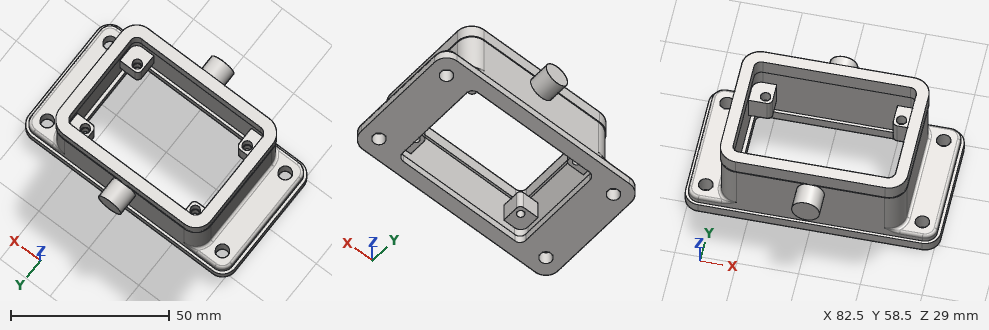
import cadquery as cq
base_length = 82.5
base_width = 45.4
base_height = 3.5
base_corner = 5.0

ledge = 1.1
pad_length = base_length - 2 * ledge
pad_corner = base_corner - ledge
pad_top = 6.0
blend_radius = 1.0

body_length = 60.0
body_width = 43.5
body_corner = 6.0
wall = 3.0
total_height = 29.0
collar_bottom = 23.5
collar_step = 0.25

runout_gap = 0.21
pad_start = body_length / 2 - body_corner + runout_gap

mouth_length = 52.5
mouth_width = 36.0
mouth_corner = 2.4
floor_length = 51.6
floor_width = 35.55
cavity_length = body_length - 2 * wall
cavity_width = body_width - 2 * wall
cavity_corner = body_corner - wall

peg_diameter = 9.0
peg_height = 19.1
peg_span = 58.5

mount_pitch_x = 70.05
mount_pitch_y = 32.5
mount_diameter = 4.5

screw_pitch_x = 44.0
screw_pitch_y = 26.9
block_margin = 2.5
block_corner = 1.6
block_bottom = 8.9
block_top = 17.0
screw_diameter = 3.2
screw_core_diameter = 2.6
screw_depth = (block_top - block_bottom) / 2


def rounded_block(length, width, corner, bottom, top):
    """Upright block centred on the Z axis with rounded vertical edges."""
    block = cq.Workplane("XY").workplane(offset=bottom).rect(length, width).extrude(top - bottom)
    return block.edges("|Z").fillet(corner)


def drill_pattern(diameter, pitch_x, pitch_y, bottom, top):
    """Four upright cylinders on a rectangular pattern, used as cutters."""
    centres = cq.Workplane("XY").workplane(offset=bottom).rect(pitch_x, pitch_y, forConstruction=True)
    return centres.vertices().circle(diameter / 2).extrude(top - bottom)


def make_pad():
    """Pad at the +X end, blended into the foot of the housing and rounded along its free edge."""
    pad_height = pad_top - base_height
    stub_top = pad_top + 2 * blend_radius
    slab = cq.Workplane("XY").workplane(offset=base_height)
    slab = slab.rect(2 * base_length, 2 * base_width).extrude(pad_height)
    stub = rounded_block(body_length, body_width, body_corner, base_height, stub_top)
    foot_line = cq.selectors.BoxSelector(
        (-body_length, -body_width / 2 - ledge, pad_top - pad_height / 2),
        (body_length, body_width / 2 + ledge, pad_top + blend_radius / 2),
    )
    blended = slab.union(stub).edges(foot_line).edges("not |Z").fillet(blend_radius)
    pad = blended.intersect(rounded_block(pad_length, body_width, pad_corner, base_height, stub_top))

    keep = cq.Workplane("XY").box(base_length, base_length, base_length, centered=(False, True, True))
    pad = pad.intersect(keep.translate((pad_start, 0, 0)))
    return pad.faces(">X").edges(">Z").fillet(blend_radius)


def make_shell():
    """Flange, both pads, housing wall, collar and pegs, before hollowing."""
    flange = rounded_block(base_length, base_width, base_corner, 0, base_height)
    body = rounded_block(body_length, body_width, body_corner, 0, collar_bottom)
    collar = rounded_block(
        body_length + 2 * collar_step, body_width + 2 * collar_step, body_corner, collar_bottom, total_height
    )
    pegs = cq.Workplane("XZ").center(0, peg_height).circle(peg_diameter / 2).extrude(peg_span / 2, both=True)
    sill_top = pad_top + blend_radius - 0.2
    sill = cq.Workplane("XY").workplane(offset=base_height)
    sill = sill.rect(2 * pad_start, body_width).extrude(sill_top - base_height)
    body = body.union(sill)
    shell = flange.union(body).union(collar).union(pegs)
    pad = make_pad().cut(body)
    return shell.union(pad).union(pad.mirror("YZ"))


def make_hollow():
    """Narrow mouth in the collar, wider cavity below it and a narrower opening through the flange."""
    mouth = rounded_block(mouth_length, mouth_width, mouth_corner, collar_bottom, total_height)
    cavity = rounded_block(cavity_length, cavity_width, cavity_corner, base_height, collar_bottom)
    floor = rounded_block(floor_length, floor_width, mouth_corner, 0, base_height)
    return mouth.union(cavity).union(floor)


def make_corner_block(side_x, side_y):
    """Screw block in one corner of the cavity, reaching into the wall behind it."""
    inner_x = screw_pitch_x / 2 - block_margin
    inner_y = screw_pitch_y / 2 - block_margin
    size_x = (cavity_length + wall) / 2 - inner_x
    size_y = (cavity_width + wall) / 2 - inner_y
    block = rounded_block(size_x, size_y, block_corner, block_bottom, block_top)
    return block.translate((side_x * (inner_x + size_x / 2), side_y * (inner_y + size_y / 2), 0))


result = make_shell().cut(make_hollow())
for side_x in (-1, 1):
    for side_y in (-1, 1):
        result = result.union(make_corner_block(side_x, side_y))
result = result.cut(drill_pattern(screw_core_diameter, screw_pitch_x, screw_pitch_y, block_bottom, block_top))
result = result.cut(drill_pattern(screw_diameter, screw_pitch_x, screw_pitch_y, block_top - screw_depth, block_top))
result = result.cut(drill_pattern(mount_diameter, mount_pitch_x, mount_pitch_y, 0, pad_top))